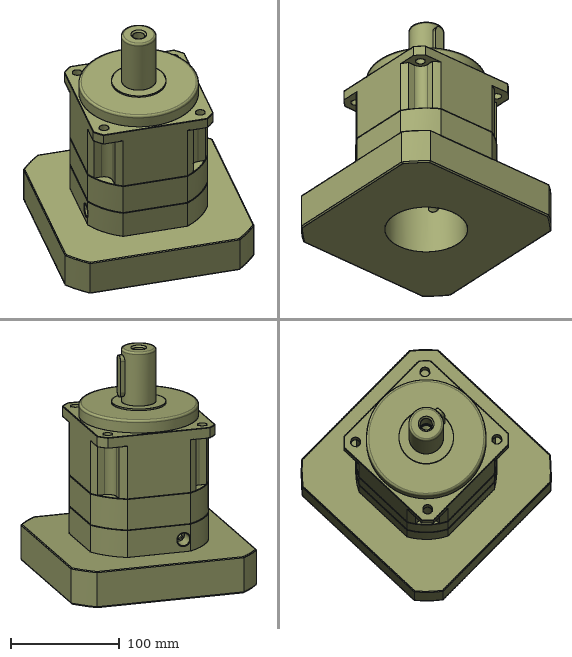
import cadquery as cq

base_top = 35.0
input_top = 61.2
ring_top = 91.1
pocket_top = 142.0
flange_top = 152.0
pilot_top = 164.0
boss_top = 165.5
shaft_top = 217.0

base_width = 180.0
base_corner_dia = 229.5
base_top_chamfer = 0.9
base_bottom_chamfer = 1.3

body_width = 114.4
body_corner_dia = 129.8
flange_corner_dia = 151.2
top_edge_chamfer = 0.5

motor_bore_dia = 76.0

access_x = 24.0
access_z = 46.7
access_dia = 12.2
access_mouth_chamfer = 0.7
access_depth = 15.2
screw_hole_dia = 7.2
screw_hole_mouth_dia = 9.1

bolt_spacing = 91.8
bolt_hole_dia = 9.0
pocket_radius = 8.5

pilot_dia = 110.0
pilot_edge_radius = 2.2
boss_dia = 50.1
shaft_dia = 32.0
shaft_edge_radius = 2.0

centre_mouth_dia = 14.3
thread_dia = 11.0
thread_depth = 21.7
drill_dia = 10.0
drill_depth = 26.0
drill_point_height = 2.8

key_width = 10.0
key_length = 40.1
key_bottom = 171.5
key_reach = 19.3


def cylinder(dia, bottom, top):
    """Vertical cylinder on the main axis."""
    return cq.Workplane("XY", origin=(0, 0, bottom)).circle(dia / 2).extrude(top - bottom)


def trimmed_square(width, corner_dia, bottom, top):
    """Square block whose corners are trimmed by a concentric cylinder."""
    square = cq.Workplane("XY", origin=(0, 0, bottom)).rect(width, width).extrude(top - bottom)
    return square.intersect(cylinder(corner_dia, bottom, top))


def body_section(corner_dia, bottom, top):
    """Section of the gearbox body with a chamfer round its top edge."""
    section = trimmed_square(body_width, corner_dia, bottom, top)
    return section.faces(">Z").chamfer(top_edge_chamfer)


def access_hole():
    """Counterbored hole from the front wall into the motor bore."""
    wall_y = -body_width / 2
    mouth_radius = access_dia / 2 + access_mouth_chamfer
    step = (screw_hole_mouth_dia - screw_hole_dia) / 2
    half_profile = (
        cq.Workplane("XY", origin=(access_x, wall_y, access_z))
        .lineTo(mouth_radius, 0)
        .lineTo(access_dia / 2, access_mouth_chamfer)
        .lineTo(access_dia / 2, access_depth)
        .lineTo(screw_hole_mouth_dia / 2, access_depth)
        .lineTo(screw_hole_dia / 2, access_depth + step)
        .lineTo(screw_hole_dia / 2, -wall_y)
        .lineTo(0, -wall_y)
        .close()
    )
    return half_profile.revolve(360, (0, 0, 0), (0, 1, 0))


def make_input_housing():
    """Mounting base and the body section above it, bored for the motor."""
    base = trimmed_square(base_width, base_corner_dia, 0, base_top)
    base = base.faces(">Z").chamfer(base_top_chamfer)
    base = base.faces("<Z").chamfer(base_bottom_chamfer)
    housing = base.union(body_section(body_corner_dia, base_top, input_top))
    return housing.cut(cylinder(motor_bore_dia, 0, input_top)).cut(access_hole())


def make_gear_ring():
    return body_section(body_corner_dia, input_top, ring_top)


def corner_pockets():
    """Four pockets, each a square whose inner corner is rounded about a bolt hole."""
    size = body_width / 2
    centre = bolt_spacing / 2 - pocket_radius + size / 2
    spacing = 2 * centre
    pockets = cq.Workplane("XY", origin=(0, 0, ring_top)).rect(spacing, spacing, forConstruction=True)
    pockets = pockets.vertices().rect(size, size).extrude(pocket_top - ring_top)
    return pockets.edges("|Z").fillet(pocket_radius)


def bolt_holes():
    holes = cq.Workplane("XY", origin=(0, 0, pocket_top)).rect(bolt_spacing, bolt_spacing, forConstruction=True)
    return holes.vertices().circle(bolt_hole_dia / 2).extrude(flange_top - pocket_top)


def centre_hole():
    """Countersunk, threaded and drilled hole down the shaft end."""
    mouth_depth = (centre_mouth_dia - thread_dia) / 2
    return (
        cq.Workplane("XZ", origin=(0, 0, shaft_top))
        .lineTo(centre_mouth_dia / 2, 0)
        .lineTo(thread_dia / 2, -mouth_depth)
        .lineTo(thread_dia / 2, -thread_depth)
        .lineTo(drill_dia / 2, -thread_depth)
        .lineTo(drill_dia / 2, -drill_depth)
        .lineTo(0, -drill_depth - drill_point_height)
        .close()
        .revolve(360, (0, 0, 0), (0, 1, 0))
    )


def key():
    """Round-ended key reaching from the shaft axis out of the -X side."""
    key_centre_z = key_bottom + key_length / 2
    return cq.Workplane("YZ", origin=(0, 0, key_centre_z)).slot2D(key_length, key_width, 90).extrude(-key_reach)


def make_output_housing():
    """Upper body section, flange, pilot and boss with the keyed output shaft."""
    pilot = cylinder(pilot_dia, flange_top, pilot_top).faces(">Z").edges().fillet(pilot_edge_radius)
    shaft = cylinder(shaft_dia, boss_top, shaft_top).faces(">Z").edges().fillet(shaft_edge_radius)
    housing = trimmed_square(body_width, body_corner_dia, ring_top, pocket_top).cut(corner_pockets())
    housing = housing.union(body_section(flange_corner_dia, pocket_top, flange_top)).cut(bolt_holes())
    housing = housing.union(pilot).union(cylinder(boss_dia, pilot_top, boss_top))
    return housing.union(shaft).union(key()).cut(centre_hole())


input_housing = make_input_housing()
gear_ring = make_gear_ring()
output_housing = make_output_housing()

result = cq.Compound.makeCompound([input_housing.val(), gear_ring.val(), output_housing.val()])